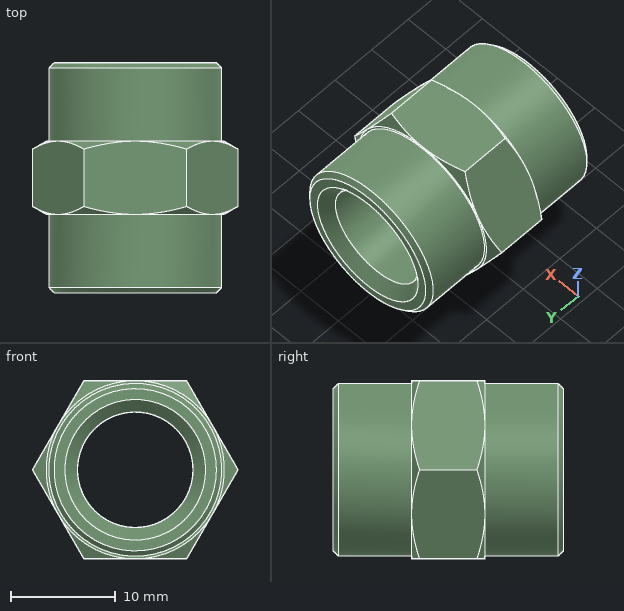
import cadquery as cq
import math

length = 22.0
hex_across_flats = 17.0
hex_width = 7.0
hex_chamfer_angle = 30.0
barrel_diameter = 16.5
barrel_chamfer = 0.5
bore_diameter = 11.0
countersink_diameter = 13.42

hex_across_corners = hex_across_flats / math.cos(math.radians(30))
half_length = length / 2
half_hex_width = hex_width / 2
bore_radius = bore_diameter / 2
countersink_radius = countersink_diameter / 2
countersink_depth = countersink_radius - bore_radius


def make_hex():
    """Hexagon with corners on the X axis and conical chamfers on both faces."""
    blank = (
        cq.Workplane("XZ")
        .polygon(6, hex_across_corners)
        .extrude(half_hex_width, both=True)
    )
    face_radius = hex_across_flats / 2
    outer_radius = hex_across_corners
    cone_drop = (outer_radius - face_radius) * math.tan(math.radians(hex_chamfer_angle))
    rim = half_hex_width - cone_drop
    envelope = (
        cq.Workplane("XY")
        .polyline([
            (0, -half_hex_width),
            (face_radius, -half_hex_width),
            (outer_radius, -rim),
            (outer_radius, rim),
            (face_radius, half_hex_width),
            (0, half_hex_width),
        ])
        .close()
        .revolve(360, (0, 0, 0), (0, 1, 0))
    )
    return blank.intersect(envelope)


def make_barrel():
    """Cylinder running the full length, chamfered at both outer ends."""
    return (
        cq.Workplane("XZ")
        .circle(barrel_diameter / 2)
        .extrude(half_length, both=True)
        .edges("%CIRCLE")
        .chamfer(barrel_chamfer)
    )


def make_bore():
    """Through bore with a conical countersink at each end."""
    return (
        cq.Workplane("XY")
        .polyline([
            (0, -half_length),
            (countersink_radius, -half_length),
            (bore_radius, -half_length + countersink_depth),
            (bore_radius, half_length - countersink_depth),
            (countersink_radius, half_length),
            (0, half_length),
        ])
        .close()
        .revolve(360, (0, 0, 0), (0, 1, 0))
    )


result = make_barrel().union(make_hex()).cut(make_bore())